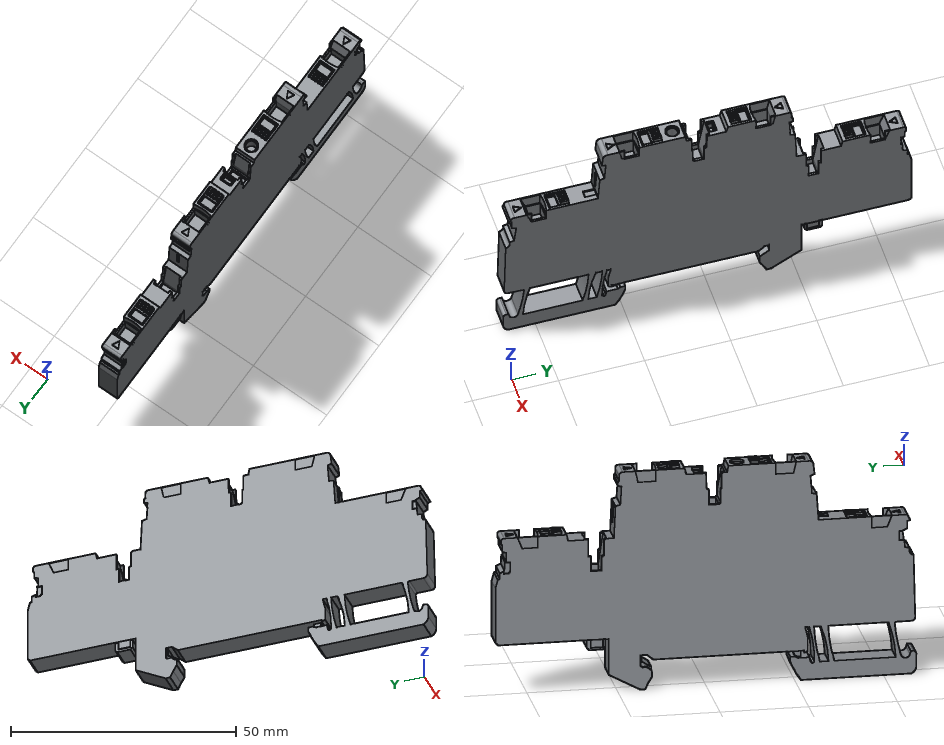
import cadquery as cq


THICKNESS = 5.1
LENGTH = 94.93
HEIGHT = 52.0
HALF_THICKNESS = THICKNESS / 2
HALF_LENGTH = LENGTH / 2

BODY_BOTTOM = 12.4
RAIL_SEAT = 6.9
FOOT_WINDOW_BOTTOM = 4.1
FIN_RISE = 0.45
UPPER_DECK = HEIGHT - FIN_RISE
DECK_STEP = 14.0
LOWER_DECK = UPPER_DECK - DECK_STEP
LEDGE_DROP = 1.45
UPPER_LEDGE = UPPER_DECK - LEDGE_DROP
LOWER_LEDGE = LOWER_DECK - LEDGE_DROP
SLOT_DEPTH = 7.5
UPPER_SLOT_FLOOR = UPPER_LEDGE - SLOT_DEPTH
LOWER_SLOT_FLOOR = LOWER_LEDGE - SLOT_DEPTH

LOWER_ENTRY_FLOOR_END = 9.0
UPPER_ENTRY_FLOOR_END = 9.5

TERMINALS = [
    (32.4, 1, LOWER_DECK, LOWER_ENTRY_FLOOR_END),
    (5.8, 1, UPPER_DECK, UPPER_ENTRY_FLOOR_END),
    (-10.3, -1, UPPER_DECK, UPPER_ENTRY_FLOOR_END),
    (-31.9, -1, LOWER_DECK, LOWER_ENTRY_FLOOR_END),
]

BUTTON_WIDTH = 3.9
BUTTON_LENGTH = 4.6
BUTTON_RECESS = 0.4
WINDOW_WIDTH = 3.3
WINDOW_START = 2.3
WINDOW_END = 4.3
WINDOW_DEPTH = 0.9
FIN_BLOCK_LENGTH = 1.8
FIN_WIDTH = 0.5
FIN_PITCH = 0.87
FIN_COUNT = 4

ENTRY_START = 5.2
ENTRY_END = 10.1
ENTRY_SIDE_WALL = 0.25
ENTRY_OPEN_DEPTH = 2.7
ENTRY_BULGE = 0.3
ENTRY_END_WALL_LENGTH = 1.2
FUNNEL_START = 5.5
FUNNEL_WIDTH = 4.1
FUNNEL_DEPTH = 3.5

ARROW_TIP = 10.6
ARROW_BASE = 12.3
ARROW_WIDTH = 1.7
ARROW_DEPTH = 0.2

WEDGE_WIDTH = 3.9
WELL_DEPTH = 1.5
LOWER_WEDGE = [(27.2, LOWER_LEDGE), (25.9, LOWER_SLOT_FLOOR), (23.5, LOWER_SLOT_FLOOR), (22.4, LOWER_LEDGE)]
UPPER_WEDGE = [(0.6, UPPER_LEDGE), (-0.7, UPPER_SLOT_FLOOR), (-3.0, UPPER_SLOT_FLOOR), (-4.3, UPPER_LEDGE)]

TEST_HOLE_Y = -7.4
TEST_HOLE_DIAMETER = 2.5
TEST_HOLE_DEPTH = 4.0
TEST_RIM_DIAMETER = 3.1
TEST_RIM_DEPTH = 0.5
SOCKET_Y = 1.65
SOCKET_WIDTH = 2.9
SOCKET_LENGTH = 1.8
SOCKET_RIM = 0.3
SOCKET_RIM_DEPTH = 0.5
SOCKET_DEPTH = 2.0
GROOVE_X = 0.45
GROOVE_WIDTH = 1.75
GROOVE_START = -25.3
GROOVE_END = -28.0
GROOVE_DEPTH = 0.4

RIB_WIDTH = 0.5
RIB_BOTTOM = 39.0
RIB_TOP = 43.2
RIB_BACK_Y = 20.75
RIB_FRONT_Y = -25.4
RIB_EMBED = 0.6

LUG_WIDTH = 4.6
LUG_Y_MIN = 22.7
LUG_Y_MAX = 26.8
LUG_BOTTOM = 9.9
LUG_CHAMFER = 0.5
LUG_PAD_WIDTH = 5.0
LUG_PAD_Y_MIN = 23.2
LUG_PAD_Y_MAX = 26.0
LUG_PAD_BOTTOM = 10.5

WEB_WIDTH = 3.0
SIDE_RECESS = 0.3
CLAW_RECESS = 0.6


def trace(sketch, steps):
    """Draw a line to each point; a pair of points is an arc (through, end)."""
    for step in steps:
        if isinstance(step[0], tuple):
            sketch = sketch.threePointArc(*step)
        else:
            sketch = sketch.lineTo(*step)
    return sketch.close()


def prism(start, steps, x_min=-HALF_THICKNESS, x_max=HALF_THICKNESS):
    """Extrude a closed YZ profile between two X positions."""
    sketch = cq.Workplane("YZ", origin=(x_min, 0, 0)).moveTo(*start)
    return trace(sketch, steps).extrude(x_max - x_min)


def box(x_range, y_range, z_range):
    """Box given by the two limits on each axis, in either order."""
    spans = [abs(b - a) for a, b in (x_range, y_range, z_range)]
    middle = tuple((a + b) / 2 for a, b in (x_range, y_range, z_range))
    return cq.Workplane("XY").box(*spans).translate(middle)


def centred(width):
    """Limits of a width centred on zero."""
    return (-width / 2, width / 2)


def housing():
    back_end = [
        (HALF_LENGTH, 13.0),
        (HALF_LENGTH, 25.9),
        (46.95, 27.9),
        (46.5, 28.1),
        (46.5, 29.4),
        (45.4, 29.9),
        (45.3, 31.9),
        (45.0, 31.9),
        (45.0, 34.1),
        (45.9, 34.4),
        (45.9, 35.8),
        (46.2, 36.2),
        (46.2, 36.8),
        ((46.0, 37.35), (45.5, LOWER_DECK)),
    ]
    back_lower_deck = [
        (31.4, LOWER_DECK),
        (31.05, LOWER_LEDGE),
        (26.5, LOWER_LEDGE),
        (26.5, 32.1),
        (25.9, 32.1),
        (25.9, LOWER_SLOT_FLOOR),
        (23.5, LOWER_SLOT_FLOOR),
        (23.5, 31.8),
        (23.0, 32.2),
        (23.0, 35.7),
        (22.6, LOWER_LEDGE),
    ]
    upper_back_end = [
        (20.75, LOWER_LEDGE),
        (20.4, 43.6),
        (19.3, 43.9),
        (19.05, 48.1),
        (19.9, 48.4),
        (19.9, 49.2),
        (19.6, 49.6),
        (19.6, 50.8),
        ((19.35, 51.35), (18.8, UPPER_DECK)),
    ]
    upper_deck = [
        (4.8, UPPER_DECK),
        (4.4, UPPER_LEDGE),
        (-0.05, UPPER_LEDGE),
        (-0.15, 46.5),
        (-0.7, 46.1),
        (-0.7, UPPER_SLOT_FLOOR),
        (-3.0, UPPER_SLOT_FLOOR),
        (-3.35, 43.0),
        (-3.35, 46.2),
        (-3.6, 46.4),
        (-3.6, 49.8),
        (-3.9, UPPER_LEDGE),
        (-4.8, UPPER_LEDGE),
        (-5.05, UPPER_DECK),
    ]
    upper_front_end = [
        (-23.1, UPPER_DECK),
        ((-23.9, 51.35), (-24.25, 50.8)),
        (-24.5, 48.4),
        (-23.6, 48.0),
        (-23.9, 43.9),
        (-25.0, 43.6),
        (-25.4, LOWER_DECK),
    ]
    front_end = [
        (-44.8, LOWER_DECK),
        ((-45.5, 37.35), (-45.75, 36.8)),
        (-46.1, 36.2),
        (-45.4, 36.0),
        (-45.4, 34.3),
        (-44.4, 33.8),
        (-44.9, 29.9),
        (-45.95, 29.6),
        ((-46.15, 28.35), (-46.85, 27.9)),
        (-47.2, 13.4),
        ((-47.0, 12.75), (-46.3, BODY_BOTTOM)),
    ]
    front_foot = [
        (-43.0, BODY_BOTTOM),
        ((-42.7, 12.25), (-42.6, 11.9)),
        ((-43.05, 8.6), (-44.0, 4.5)),
        ((-44.95, 3.8), (-46.0, 4.6)),
        (-46.2, 5.3),
        (-46.7, 5.3),
        ((-47.25, 5.1), (-HALF_LENGTH, 4.5)),
        (-HALF_LENGTH, 1.8),
        ((-47.15, 0.75), (-46.3, 0.0)),
        (-21.4, 0.0),
        ((-20.0, 2.2), (-19.05, 4.5)),
        (-19.05, 5.6),
        (-20.2, 5.6),
        (-20.8, 5.25),
        (-23.4, 5.25),
        (-23.6, 4.2),
        (-24.0, 3.8),
        (-24.45, 4.2),
        ((-24.2, 8.3), (-23.3, BODY_BOTTOM)),
        (-22.4, BODY_BOTTOM),
        (-23.0, 10.0),
        (-23.0, 6.8),
        (-22.2, 6.4),
        (-22.2, RAIL_SEAT),
    ]
    rail_claw = [
        (11.9, RAIL_SEAT),
        (13.3, 8.1),
        (14.4, 8.1),
        (14.4, 6.4),
        (12.2, 5.0),
        (12.15, 2.9),
        (13.0, 1.5),
        (13.7, 0.0),
        (14.8, 0.0),
        (21.9, 3.9),
        (21.9, BODY_BOTTOM),
    ]
    outline = (
        back_end + back_lower_deck + upper_back_end + upper_deck
        + upper_front_end + front_end + front_foot + rail_claw
    )
    return prism((46.9, BODY_BOTTOM), outline)


def foot_windows():
    """Openings that leave the curved spring legs of the foot standing."""
    narrow = prism(
        (-24.4, BODY_BOTTOM),
        [
            (-25.9, BODY_BOTTOM),
            ((-27.15, 8.3), (-27.65, FOOT_WINDOW_BOTTOM)),
            (-25.7, FOOT_WINDOW_BOTTOM),
            ((-24.8, 8.3), (-24.4, BODY_BOTTOM)),
        ],
    )
    wide = prism(
        (-27.6, BODY_BOTTOM),
        [
            (-41.2, BODY_BOTTOM),
            ((-42.3, 8.3), (-42.8, FOOT_WINDOW_BOTTOM)),
            (-29.0, FOOT_WINDOW_BOTTOM),
            ((-28.0, 8.3), (-27.6, BODY_BOTTOM)),
        ],
    )
    return narrow.union(wide)


def terminal_cut(inner_y, outward, deck, entry_floor_end):
    """Button recess, window, wire entry and arrow of one connection point."""

    def at(distance):
        return inner_y + outward * distance

    recess = box(centred(BUTTON_WIDTH), (at(0), at(BUTTON_LENGTH)), (deck - BUTTON_RECESS, deck))
    window = box(centred(WINDOW_WIDTH), (at(WINDOW_START), at(WINDOW_END)), (deck - WINDOW_DEPTH, deck))

    mouth_floor = deck - ENTRY_OPEN_DEPTH
    wall_x = HALF_THICKNESS - ENTRY_SIDE_WALL
    inner_side = at(ENTRY_START + ENTRY_BULGE)
    opening_end = at(ENTRY_END - ENTRY_END_WALL_LENGTH)
    mouth = (
        cq.Workplane("XY", origin=(0, 0, mouth_floor))
        .moveTo(-wall_x, inner_side)
        .threePointArc((0, at(ENTRY_START)), (HALF_THICKNESS, inner_side))
        .lineTo(HALF_THICKNESS, opening_end)
        .lineTo(wall_x, opening_end)
        .lineTo(wall_x, at(ENTRY_END))
        .lineTo(-wall_x, at(ENTRY_END))
        .close()
        .extrude(ENTRY_OPEN_DEPTH)
    )
    slope = prism(
        (at(ENTRY_END), deck),
        [(at(ENTRY_END), mouth_floor), (at(entry_floor_end), mouth_floor)],
    )
    funnel = box(
        centred(FUNNEL_WIDTH),
        (at(FUNNEL_START), at(entry_floor_end)),
        (mouth_floor - FUNNEL_DEPTH, mouth_floor),
    )
    arrow = (
        cq.Workplane("XY", origin=(0, 0, deck - ARROW_DEPTH))
        .polyline(
            [
                (0, at(ARROW_TIP)),
                (-ARROW_WIDTH / 2, at(ARROW_BASE)),
                (ARROW_WIDTH / 2, at(ARROW_BASE)),
            ]
        )
        .close()
        .extrude(ARROW_DEPTH)
    )
    return recess.union(window).union(mouth.cut(slope)).union(funnel).union(arrow)


def button_fins(inner_y, outward, deck):
    """Row of fins standing in the button recess and rising above the deck."""
    fins = cq.Workplane("XY")
    for index in range(FIN_COUNT):
        x = (index - (FIN_COUNT - 1) / 2) * FIN_PITCH
        fin = box(
            (x - FIN_WIDTH / 2, x + FIN_WIDTH / 2),
            (inner_y, inner_y + outward * FIN_BLOCK_LENGTH),
            (deck - WINDOW_DEPTH, deck + FIN_RISE),
        )
        fins = fins.add(fin)
    return fins.combine()


def bridge_slot_wedge(corners):
    half_width = WEDGE_WIDTH / 2
    wedge = prism(corners[0], corners[1:], -half_width, half_width)
    floor_start, floor_end = corners[1], corners[2]
    floor_level = floor_start[1]
    well = box(centred(WEDGE_WIDTH), (floor_start[0], floor_end[0]), (floor_level - WELL_DEPTH, floor_level))
    return wedge.union(well)


def deck_openings():
    """Round test hole, rectangular socket and shallow groove."""
    top = cq.Workplane("XY", origin=(0, TEST_HOLE_Y, UPPER_DECK))
    hole = top.circle(TEST_HOLE_DIAMETER / 2).extrude(-TEST_HOLE_DEPTH)
    hole_rim = top.circle(TEST_RIM_DIAMETER / 2).extrude(-TEST_RIM_DEPTH)

    seat = cq.Workplane("XY", origin=(0, SOCKET_Y, UPPER_LEDGE))
    socket_rim = seat.rect(SOCKET_WIDTH, SOCKET_LENGTH).extrude(-SOCKET_RIM_DEPTH)
    inner_width = SOCKET_WIDTH - 2 * SOCKET_RIM
    inner_length = SOCKET_LENGTH - 2 * SOCKET_RIM
    socket = seat.rect(inner_width, inner_length).extrude(-SOCKET_DEPTH)

    groove = box(
        (GROOVE_X - GROOVE_WIDTH / 2, GROOVE_X + GROOVE_WIDTH / 2),
        (GROOVE_START, GROOVE_END),
        (LOWER_DECK - GROOVE_DEPTH, LOWER_DECK),
    )
    return hole.union(hole_rim).union(socket_rim).union(socket).union(groove)


def end_wall_ribs():
    height = (RIB_BOTTOM, RIB_TOP)
    back = box(centred(RIB_WIDTH), (RIB_BACK_Y - RIB_EMBED, RIB_BACK_Y), height)
    front = box(centred(RIB_WIDTH), (RIB_FRONT_Y, RIB_FRONT_Y + RIB_EMBED), height)
    return back.union(front)


def coding_lug():
    lug = box(centred(LUG_WIDTH), (LUG_Y_MIN, LUG_Y_MAX), (LUG_BOTTOM, BODY_BOTTOM))
    lug = lug.faces("<Z").edges("|X").chamfer(LUG_CHAMFER)
    pad = box(centred(LUG_PAD_WIDTH), (LUG_PAD_Y_MIN, LUG_PAD_Y_MAX), (LUG_PAD_BOTTOM, BODY_BOTTOM))
    return lug.union(pad)


def spring_web():
    """Narrow web between the rail seat and the sprung foot."""
    half_width = WEB_WIDTH / 2
    corners = [(-21.6, RAIL_SEAT), (-21.6, 5.25), (-20.8, 5.25), (-20.1, 5.6)]
    return prism((-19.9, RAIL_SEAT), corners, -half_width, half_width)


def side_recesses():
    """Shallow recesses in the -X face at both ends and around the rail claw."""
    end_depth = -HALF_THICKNESS + SIDE_RECESS
    back = prism(
        (45.6, 31.8),
        [(44.1, 31.8), (44.1, 29.7), (44.5, 29.2), (45.6, 29.2)],
        x_max=end_depth,
    )
    front = prism(
        (-44.9, 33.7),
        [(-43.6, 33.7), (-43.6, 31.6), (-44.9, 31.6)],
        x_max=end_depth,
    )
    claw = prism(
        (14.75, 8.1),
        [(14.75, 5.6), (14.3, 5.2), (13.3, 5.2), (12.15, 4.3), (12.0, 5.2), (14.0, 8.1)],
        x_max=-HALF_THICKNESS + CLAW_RECESS,
    )
    return back.union(front).union(claw)


result = housing().cut(foot_windows())
for terminal_y, direction, level, floor_end in TERMINALS:
    result = result.cut(terminal_cut(terminal_y, direction, level, floor_end))
    result = result.union(button_fins(terminal_y, direction, level))
for wedge in (LOWER_WEDGE, UPPER_WEDGE):
    result = result.cut(bridge_slot_wedge(wedge))
result = result.cut(deck_openings()).cut(side_recesses())
result = result.union(end_wall_ribs()).union(coding_lug()).union(spring_web())